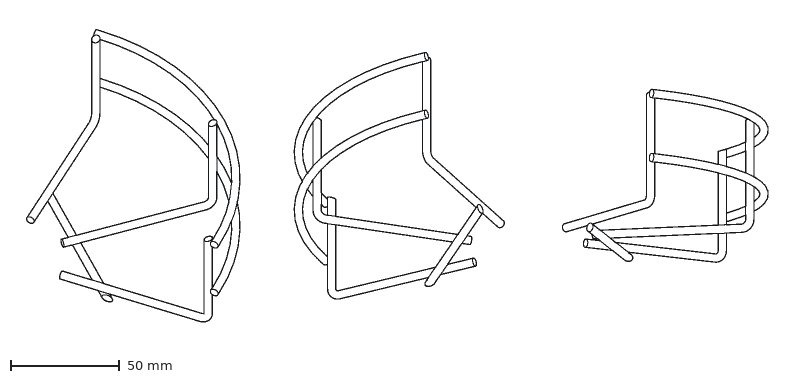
import cadquery as cq
import math

overall_size = 109.9
overall_height = 58.0
leg_height = 50.2
rail_spacing = 30.0
bracket_arm_end = 30.0
leg_tip_rise = 1.3
brace_offset = 54.1

wire_diameter = (overall_height - leg_height) / 2
wire_radius = wire_diameter / 2
bend_radius = wire_diameter

brace_z = wire_radius
arm_z = brace_z + wire_diameter
top_rail_z = arm_z + leg_height
lower_rail_z = top_rail_z - rail_spacing

turn_center = wire_radius
rail_radius = overall_size - wire_diameter
leg_radius = rail_radius - wire_diameter
arm_length = turn_center + leg_radius - bracket_arm_end


def make_rail(center_z):
    """Quarter-circle wire with a short straight end at each side of the turn."""
    middle = turn_center + rail_radius * math.sqrt(0.5)
    far = turn_center + rail_radius
    path = (
        cq.Workplane("XY", origin=(0, 0, center_z))
        .moveTo(0, far)
        .lineTo(turn_center, far)
        .threePointArc((middle, middle), (far, turn_center))
        .lineTo(far, 0)
    )
    profile = cq.Workplane("YZ", origin=(0, far, center_z)).circle(wire_radius)
    return profile.sweep(path)


def make_bracket(angle):
    """L-shaped wire: a vertical leg inside the rails and an arm towards the turn axis."""
    tip_z = top_rail_z + leg_tip_rise
    path = (
        cq.Workplane("XZ")
        .moveTo(leg_radius, tip_z)
        .lineTo(leg_radius, arm_z + bend_radius)
        .radiusArc((leg_radius - bend_radius, arm_z), bend_radius)
        .lineTo(leg_radius - arm_length, arm_z)
    )
    profile = cq.Workplane("XY", origin=(leg_radius, 0, tip_z)).circle(wire_radius)
    slant_cut = (
        cq.Workplane("XZ")
        .moveTo(leg_radius - wire_radius, top_rail_z)
        .lineTo(leg_radius + wire_radius, tip_z)
        .lineTo(leg_radius - wire_radius, tip_z)
        .close()
        .extrude(wire_radius, both=True)
    )
    bracket = profile.sweep(path).cut(slant_cut)
    return bracket.rotate((0, 0, 0), (0, 0, 1), angle).translate((turn_center, turn_center, 0))


def make_brace():
    """Diagonal wire below the brackets, trimmed flush with the X and Y sides."""
    run = cq.Vector(-1, 1, 0)
    start = cq.Vector(brace_offset, 0, brace_z) - run * wire_diameter
    length = (brace_offset + 2 * wire_diameter) * math.sqrt(2)
    wire = cq.Workplane(cq.Plane(start, normal=run)).circle(wire_radius).extrude(length)
    quadrant = cq.Workplane("XY").box(overall_size, overall_size, overall_height, centered=False)
    return wire.intersect(quadrant)


rails = [make_rail(center_z) for center_z in (top_rail_z, lower_rail_z)]
brackets = [make_bracket(angle) for angle in (0, 45, 90)]
brace = make_brace()

result = cq.Compound.makeCompound(
    [rail.val() for rail in rails] + [bracket.val() for bracket in brackets] + [brace.val()]
)